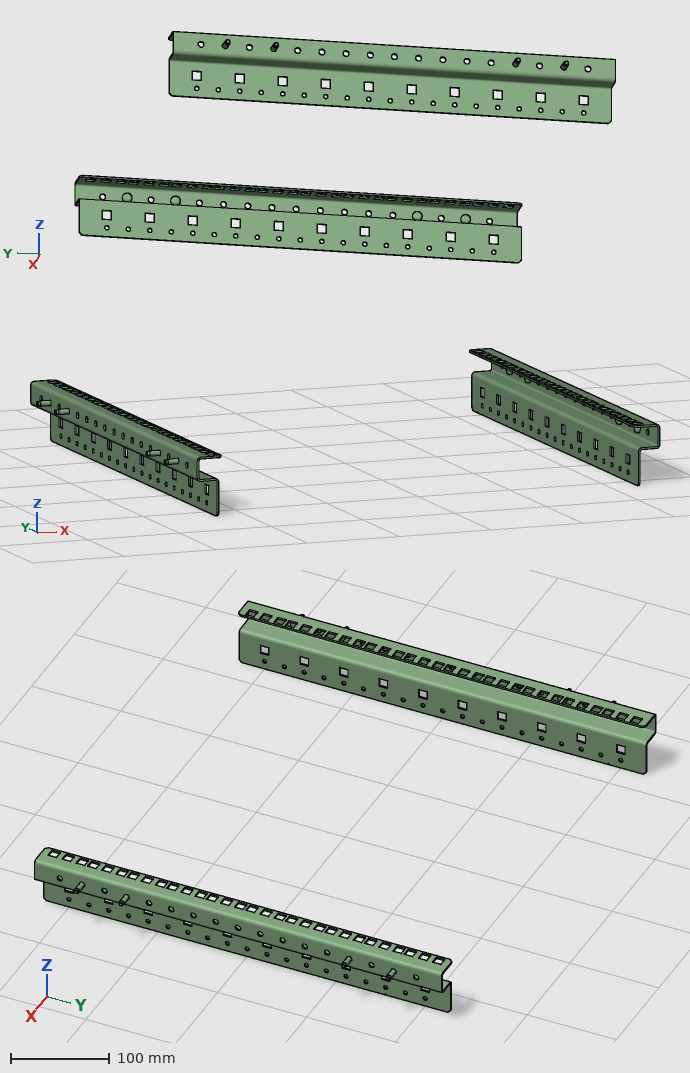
import cadquery as cq

rail_length = 457.2
rail_height = 62.5
sheet = 2.0
inner_bend = 2.0
outer_bend = inner_bend + sheet
web_x = 252.25
top_flange_width = 27.25
web_height = 25.0
leg_offset = 21.5
corner_chamfer = 3.0

rack_unit = 44.45
rack_units = 10
square_hole = 9.5
square_hole_span = 464.5
square_hole_offset = 15.875

web_hole_diameter = 6.0
web_hole_pitch = 25.0
web_hole_count = 17
web_hole_z = rail_height - 13.0
leg_hole_z = 23.0
small_hole_diameter = 4.5
small_hole_z = 9.5
small_hole_pitch = rack_unit / 2
small_hole_count = 2 * rack_units - 1

screw_diameter = 5.5
screw_tip_x = 266.5
point_diameter = 4.5
point_length = 3.0
point_chamfer = 0.5
head_diameter = 10.0
head_height = 4.0
head_rounding = 2.5
screw_ys = [holes_from_middle * web_hole_pitch for holes_from_middle in (-7, -5, 5, 7)]


def row(count, pitch):
    """Centred row of positions along Y."""
    return [(i - (count - 1) / 2) * pitch for i in range(count)]


def rail_blank():
    """Bent strip of the left rail: top flange, web, lower flange and leg."""
    flange_underside = rail_height - sheet
    flange_edge = -web_x + top_flange_width
    leg_face = -web_x + leg_offset
    lower_z = rail_height - web_height
    section = (
        cq.Workplane("XZ")
        .moveTo(flange_edge, rail_height)
        .lineTo(-web_x + outer_bend, rail_height)
        .radiusArc((-web_x, rail_height - outer_bend), -outer_bend)
        .lineTo(-web_x, lower_z + outer_bend)
        .radiusArc((-web_x + outer_bend, lower_z), -outer_bend)
        .lineTo(leg_face - inner_bend, lower_z)
        .radiusArc((leg_face, lower_z - inner_bend), inner_bend)
        .lineTo(leg_face, 0)
        .lineTo(leg_face + sheet, 0)
        .lineTo(leg_face + sheet, lower_z - inner_bend)
        .radiusArc((leg_face - inner_bend, lower_z + sheet), -outer_bend)
        .lineTo(-web_x + outer_bend, lower_z + sheet)
        .radiusArc((-web_x + sheet, lower_z + outer_bend), inner_bend)
        .lineTo(-web_x + sheet, rail_height - outer_bend)
        .radiusArc((-web_x + outer_bend, flange_underside), inner_bend)
        .lineTo(flange_edge, flange_underside)
        .close()
    )
    blank = section.extrude(rail_length / 2, both=True)
    blank = blank.faces(cq.selectors.NearestToPointSelector((flange_edge, 0, rail_height - sheet / 2)))
    blank = blank.edges("|Z").chamfer(corner_chamfer)
    return blank.faces("<Z").edges("|X").chamfer(corner_chamfer)


def hole_plane(x, z):
    """Workplane just outside the sheet centred at x, with its origin at height z."""
    return cq.Workplane("YZ", origin=(x - sheet, 0, z))


def round_holes(x, z, diameter, ys):
    """Round drills along X through the sheet centred at x."""
    return hole_plane(x, z).pushPoints([(y, 0) for y in ys]).circle(diameter / 2).extrude(2 * sheet)


def leg_square_holes(x):
    """One square hole per rack unit, along X through the leg."""
    centres = [(y, 0) for y in row(rack_units, rack_unit)]
    return hole_plane(x, leg_hole_z).pushPoints(centres).rect(square_hole, square_hole).extrude(2 * sheet)


def flange_square_holes():
    """Three square holes per rack unit, along Z through the top flange."""
    offsets = (-square_hole_offset, 0, square_hole_offset)
    centres = [(-square_hole_span / 2, unit + o) for unit in row(rack_units, rack_unit) for o in offsets]
    return (
        cq.Workplane("XY", origin=(0, 0, rail_height - 2 * sheet))
        .pushPoints(centres)
        .rect(square_hole, square_hole)
        .extrude(3 * sheet)
    )


def left_rail():
    """Left rail with all its holes."""
    web_mid = -web_x + sheet / 2
    leg_mid = -web_x + leg_offset + sheet / 2
    return (
        rail_blank()
        .cut(flange_square_holes())
        .cut(round_holes(web_mid, web_hole_z, web_hole_diameter, row(web_hole_count, web_hole_pitch)))
        .cut(leg_square_holes(leg_mid))
        .cut(round_holes(leg_mid, small_hole_z, small_hole_diameter, row(small_hole_count, small_hole_pitch)))
    )


def left_screw(y):
    """Round-headed screw pointing outwards through the web, its head on the inner face."""
    head_seat = -web_x + sheet
    head = (
        cq.Workplane("YZ", origin=(head_seat, y, web_hole_z))
        .circle(head_diameter / 2)
        .extrude(head_height)
        .faces(">X")
        .edges()
        .fillet(head_rounding)
    )
    shank_length = screw_tip_x + head_seat - point_length
    shank = (
        cq.Workplane("YZ", origin=(head_seat, y, web_hole_z))
        .circle(screw_diameter / 2)
        .extrude(-shank_length)
        .faces("<X")
        .workplane(origin=(0, y, web_hole_z))
        .circle(point_diameter / 2)
        .extrude(point_length)
        .faces("<X")
        .chamfer(point_chamfer)
    )
    return head.union(shank)


def mirrored(body):
    """Right-hand copy of a left-hand body."""
    return body.mirror("YZ")


left_bodies = [left_rail()] + [left_screw(y) for y in screw_ys]
right_bodies = [mirrored(body) for body in left_bodies]
result = cq.Compound.makeCompound([body.val() for body in left_bodies + right_bodies])